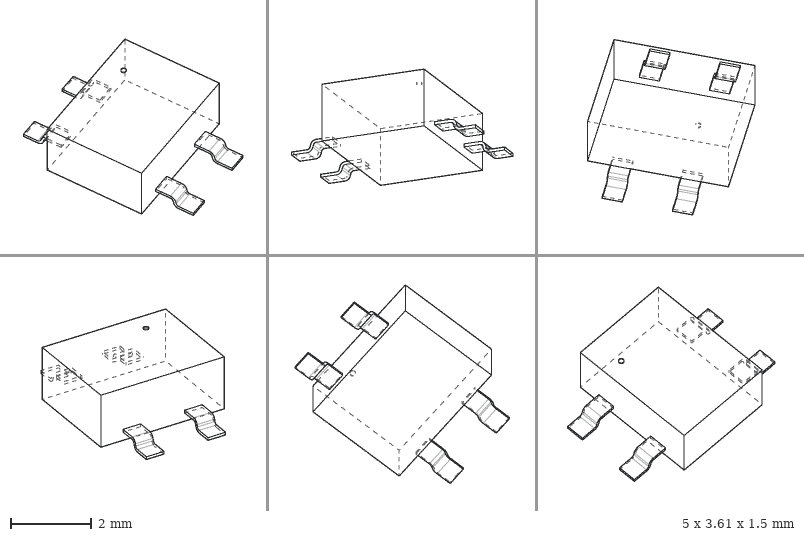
import cadquery as cq
import math

span_x = 5.0
housing_x = 2.78
housing_y = 3.61
housing_z = 1.5

lead_width = 0.515
lead_thickness = 0.08
lead_top = 0.32
lead_pitch = 1.8
foot_length = 0.425
bend_inner_radius = 0.08
bend_angle = 75.5

marker_diameter = 0.14
marker_depth = 0.025
marker_x = -0.855
marker_y = lead_pitch / 2

lead_length = (span_x - housing_x) / 2
bend_outer_radius = bend_inner_radius + lead_thickness
radius_sum = bend_inner_radius + bend_outer_radius
slope = math.radians(bend_angle)
leg_rise = lead_top - lead_thickness - radius_sum * (1 - math.cos(slope))
bend_run = radius_sum * math.sin(slope) + leg_rise / math.tan(slope)


def point_on_circle(center, radius, degrees):
    """Point at the given angle, counterclockwise from the horizontal."""
    angle = math.radians(degrees)
    return (center[0] + radius * math.cos(angle), center[1] + radius * math.sin(angle))


def add_arc(outline, center, radius, start, end):
    """Draw to the start of an arc unless already there, then along the arc."""
    middle = (start + end) / 2
    return outline.lineTo(*point_on_circle(center, radius, start)).threePointArc(
        point_on_circle(center, radius, middle),
        point_on_circle(center, radius, end),
    )


def make_left_lead():
    """Lead on the -X side, centered on Y = 0 and ending at the housing wall."""
    tip_x = -span_x / 2
    wall_x = tip_x + lead_length
    foot_center = (tip_x + foot_length, bend_outer_radius)
    shoulder_center = (foot_center[0] + bend_run, lead_top - bend_outer_radius)
    foot_start, foot_end = -90, bend_angle - 90
    shoulder_start, shoulder_end = 90 + bend_angle, 90

    outline = cq.Workplane("XZ").moveTo(tip_x, 0)
    outline = add_arc(outline, foot_center, bend_outer_radius, foot_start, foot_end)
    outline = add_arc(outline, shoulder_center, bend_inner_radius, shoulder_start, shoulder_end)
    outline = outline.lineTo(wall_x, lead_top - lead_thickness).lineTo(wall_x, lead_top)
    outline = add_arc(outline, shoulder_center, bend_outer_radius, shoulder_end, shoulder_start)
    outline = add_arc(outline, foot_center, bend_inner_radius, foot_end, foot_start)
    outline = outline.lineTo(tip_x, lead_thickness).close()
    return outline.extrude(lead_width / 2, both=True)


def make_leads():
    """Two leads on each of the -X and +X sides."""
    left = make_left_lead()
    leads = []
    for side in (left, left.mirror("YZ")):
        for y in (-lead_pitch / 2, lead_pitch / 2):
            leads.append(side.translate((0, y, 0)).val())
    return leads


def make_marker():
    """Disc that fills the recess in the housing top."""
    return (
        cq.Workplane("XY", origin=(marker_x, marker_y, housing_z - marker_depth))
        .circle(marker_diameter / 2)
        .extrude(marker_depth)
    )


def make_housing(marker):
    """Plain block with a recess for the marker."""
    block = cq.Workplane("XY").box(housing_x, housing_y, housing_z, centered=(True, True, False))
    return block.cut(marker)


marker = make_marker()
housing = make_housing(marker)
leads = make_leads()

result = cq.Compound.makeCompound([housing.val(), marker.val(), *leads])